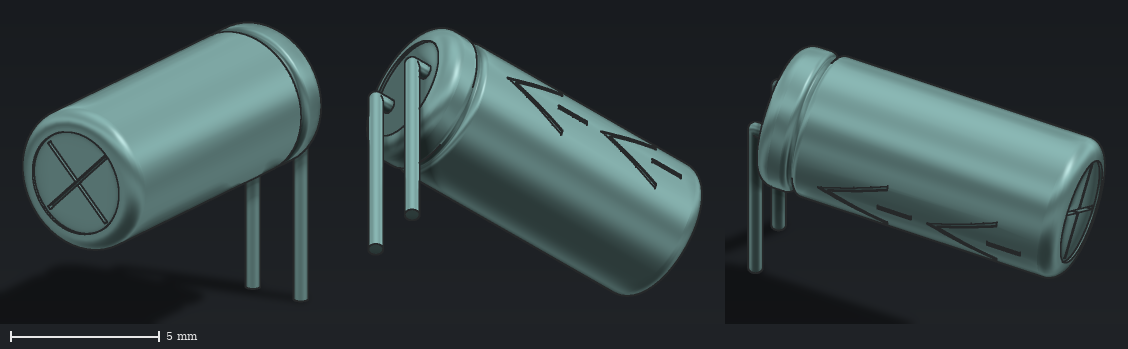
import cadquery as cq
import math


overall_length = 11.75
overall_height = 9.99
sleeve_length = 11.0
sleeve_radius = 4.99 / 2

wall = 0.1
end_round = 0.56
lip_opening_radius = 3.61 / 2

groove_from_rear = 1.3
groove_depth = 0.18
groove_floor_width = 0.07
groove_shoulder_round = 0.21
groove_root_round = 0.08

cross_length = 3.35
cross_width = 0.13
cross_depth = 0.25

mark_count = 2
mark_pitch = 4.0
mark_depth = 0.05
chevron_back_y = 2.13
chevron_length = 2.47
chevron_height = 2.02
chevron_end_height = 0.15
dash_start_y = 1.19
dash_length = 1.22
dash_height = 0.15

lead_radius = 0.5 / 2
lead_pitch = 2.0
lead_drop = overall_height - sleeve_radius
lead_axis_y = overall_length - lead_radius


def arc_point(center, radius, angle):
    """Point of an arc at the given angle in degrees from +radial towards +Y."""
    turn = math.radians(angle)
    return (center[0] + radius * math.cos(turn), center[1] + radius * math.sin(turn))


def body_of_revolution(inset):
    """Crimped cylinder with rounded ends, its skin moved inwards everywhere by inset."""
    radius = sleeve_radius - inset
    front = inset
    rear = sleeve_length - inset
    end_center_radius = sleeve_radius - end_round
    end_radius = end_round - inset
    shoulder = groove_shoulder_round - inset
    root = groove_root_round + inset

    groove_y = sleeve_length - groove_from_rear
    shoulder_center_radius = sleeve_radius - groove_shoulder_round
    root_center_radius = sleeve_radius - groove_depth + groove_root_round
    radial_gap = root_center_radius - shoulder_center_radius
    arc_radii = groove_shoulder_round + groove_root_round
    axial_gap = math.sqrt(arc_radii**2 - radial_gap**2)
    root_offset = groove_floor_width / 2
    shoulder_offset = root_offset + axial_gap
    tangent_angle = math.degrees(math.atan2(axial_gap, radial_gap))
    floor_radius = root_center_radius - root
    middle_angle = tangent_angle / 2

    front_shoulder = (shoulder_center_radius, groove_y - shoulder_offset)
    front_root = (root_center_radius, groove_y - root_offset)
    rear_root = (root_center_radius, groove_y + root_offset)
    rear_shoulder = (shoulder_center_radius, groove_y + shoulder_offset)
    front_end = (end_center_radius, end_round)
    rear_end = (end_center_radius, sleeve_length - end_round)

    profile = (
        cq.Workplane("XY")
        .moveTo(0, front)
        .lineTo(end_center_radius, front)
        .threePointArc(arc_point(front_end, end_radius, -45), (radius, front_end[1]))
        .lineTo(radius, front_shoulder[1])
        .threePointArc(
            arc_point(front_shoulder, shoulder, middle_angle),
            arc_point(front_shoulder, shoulder, tangent_angle),
        )
        .threePointArc(
            arc_point(front_root, root, 180 + middle_angle), (floor_radius, front_root[1])
        )
        .lineTo(floor_radius, rear_root[1])
        .threePointArc(
            arc_point(rear_root, root, 180 - middle_angle),
            arc_point(rear_root, root, 180 - tangent_angle),
        )
        .threePointArc(
            arc_point(rear_shoulder, shoulder, -middle_angle), (radius, rear_shoulder[1])
        )
        .lineTo(radius, rear_end[1])
        .threePointArc(arc_point(rear_end, end_radius, 45), (end_center_radius, rear))
        .lineTo(0, rear)
        .close()
    )
    return profile.revolve(360, (0, 0, 0), (0, 1, 0))


def polarity_mark(start_y):
    """Chevron pointing to the rear and a dash, as a bar along X to be trimmed to the skin."""
    half_height = chevron_height / 2
    back_y = start_y + chevron_back_y
    tip_y = back_y + chevron_length
    inner_half_height = half_height - chevron_end_height
    inner_tip_y = back_y + chevron_length * inner_half_height / half_height
    outline = [
        (tip_y, 0),
        (back_y, half_height),
        (back_y, inner_half_height),
        (inner_tip_y, 0),
        (back_y, -inner_half_height),
        (back_y, -half_height),
    ]
    chevron = cq.Workplane("YZ").polyline(outline).close().extrude(-sleeve_radius)
    dash_y = start_y + dash_start_y + dash_length / 2
    dash = (
        cq.Workplane("YZ")
        .center(dash_y, 0)
        .rect(dash_length, dash_height)
        .extrude(-sleeve_radius)
    )
    return chevron.union(dash)


def make_sleeve():
    """Thin shell around the can, with a lip turned over each end and the marks in its side."""
    opening = cq.Workplane("XZ").circle(lip_opening_radius).extrude(-sleeve_length)
    sleeve = body_of_revolution(0).cut(body_of_revolution(wall)).cut(opening)
    mark_floor = cq.Workplane("XZ").circle(sleeve_radius - mark_depth).extrude(-sleeve_length)
    for index in range(mark_count):
        sleeve = sleeve.cut(polarity_mark(index * mark_pitch).cut(mark_floor))
    return sleeve


def make_lead(x):
    """Round lead leaving the rear of the can, bent down at a right angle with a ball corner."""
    can_rear = sleeve_length - wall
    straight = (
        cq.Workplane("XZ", origin=(x, can_rear, 0))
        .circle(lead_radius)
        .extrude(can_rear - lead_axis_y)
    )
    drop = cq.Workplane("XY", origin=(x, lead_axis_y, 0)).circle(lead_radius).extrude(-lead_drop)
    corner = cq.Workplane("XY", origin=(x, lead_axis_y, 0)).sphere(lead_radius)
    return straight.union(drop).union(corner)


def make_can():
    """Can filling the sleeve, with the vent cross in its front and both leads at its rear."""
    can = body_of_revolution(wall)
    for angle in (45, -45):
        slot = (
            cq.Workplane("XZ", origin=(0, wall, 0))
            .rect(cross_length, cross_width)
            .extrude(-cross_depth)
            .rotate((0, 0, 0), (0, 1, 0), angle)
        )
        can = can.cut(slot)
    for x in (-lead_pitch / 2, lead_pitch / 2):
        can = can.union(make_lead(x))
    return can


sleeve = make_sleeve()
can = make_can()

result = cq.Compound.makeCompound([sleeve.solids().val(), can.solids().val()])